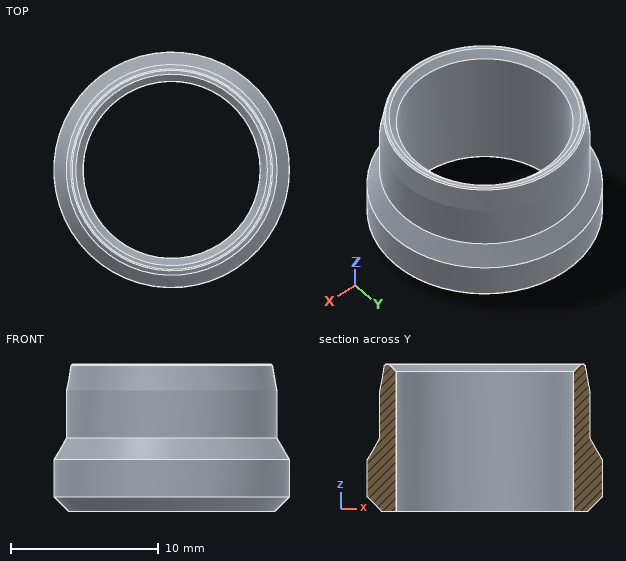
import cadquery as cq
import math

height = 10.0
collar_radius = 8.0
neck_radius = 7.15
bore_radius = 6.0

base_chamfer = 1.0
collar_top = 3.52
shoulder_angle = 30.0
taper_start = 8.2
taper_angle = 10.0
rim_chamfer = 0.1
mouth_radius = 6.5
mouth_depth = 0.5

shoulder_top = collar_top + (collar_radius - neck_radius) / math.tan(math.radians(shoulder_angle))
taper_top = height - rim_chamfer
taper_top_radius = neck_radius - (taper_top - taper_start) * math.tan(math.radians(taper_angle))

section = (
    cq.Workplane("XZ")
    .moveTo(bore_radius, 0)
    .lineTo(collar_radius - base_chamfer, 0)
    .lineTo(collar_radius, base_chamfer)
    .lineTo(collar_radius, collar_top)
    .lineTo(neck_radius, shoulder_top)
    .lineTo(neck_radius, taper_start)
    .lineTo(taper_top_radius, taper_top)
    .lineTo(taper_top_radius - rim_chamfer, height)
    .lineTo(mouth_radius, height)
    .lineTo(bore_radius, height - mouth_depth)
    .close()
)
result = section.revolve(360, (0, 0, 0), (0, 1, 0))